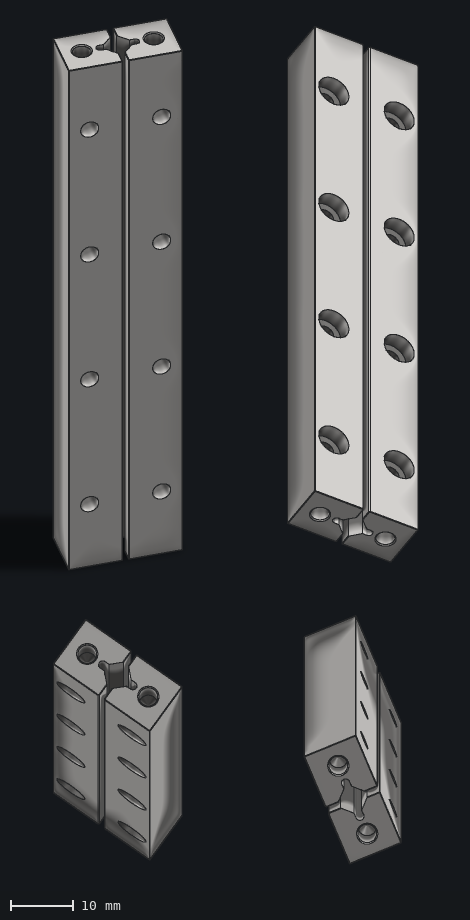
import cadquery as cq
import math

rail_length = 100.0
rail_width = 9.0
pair_depth = 19.0
rail_gap = 1.0
inner_face = rail_gap / 2
outer_face = pair_depth / 2

groove_half_width = 2.3
relief_radius = 0.65
groove_depth = 3.1
vee_depth = groove_half_width - relief_radius
relief_bottom = inner_face + groove_depth

inner_chamfer = 0.2
edge_chamfer = 0.1

hole_offset = 6.0
hole_count = 4
hole_pitch = rail_length / hole_count
hole_diameter = 3.0
counterbore_diameter = 5.5
counterbore_depth = 2.7

end_hole_diameter = 3.0
end_hole_depth = 6.0
end_mouth_diameter = 3.4
cone_bottom_angle = 90.0


def rail_blank():
    """Chamfered rectangular bar on the +Y side of the pair."""
    middle = (inner_face + outer_face) / 2
    return (
        cq.Workplane("XY")
        .box(rail_width, outer_face - inner_face, rail_length)
        .translate((0, middle, 0))
        .edges("|Z and <Y and <X")
        .chamfer(inner_chamfer)
        .edges("(not |Z) or >X or >Y")
        .chamfer(edge_chamfer)
    )


def cut_groove(bar):
    """V groove with its relief slot, open towards -Y."""
    relief_end = relief_bottom - relief_radius
    groove = (
        cq.Workplane("XY")
        .workplane(offset=-rail_length / 2)
        .moveTo(-groove_half_width, inner_face)
        .lineTo(-relief_radius, inner_face + vee_depth)
        .lineTo(-relief_radius, relief_end)
        .threePointArc((0, relief_bottom), (relief_radius, relief_end))
        .lineTo(relief_radius, inner_face + vee_depth)
        .lineTo(groove_half_width, inner_face)
        .close()
        .extrude(rail_length)
    )
    return bar.cut(groove)


def cut_mounting_holes(bar):
    """Row of counterbored through holes along the rail."""
    first_height = -(hole_count - 1) * hole_pitch / 2
    for index in range(hole_count):
        mouth = cq.Vector(-rail_width / 2, hole_offset, first_height + index * hole_pitch)
        inward = cq.Vector(1, 0, 0)
        bore = cq.Solid.makeCylinder(hole_diameter / 2, rail_width, mouth, inward)
        counterbore = cq.Solid.makeCylinder(counterbore_diameter / 2, counterbore_depth, mouth, inward)
        bar = bar.cut(cq.Workplane(bore)).cut(cq.Workplane(counterbore))
    return bar


def cut_end_holes(bar):
    """Blind countersunk hole in each end face."""
    radius = end_hole_diameter / 2
    mouth_radius = end_mouth_diameter / 2
    mouth_depth = mouth_radius - radius
    cone_depth = radius / math.tan(math.radians(cone_bottom_angle / 2))
    for end in (1, -1):
        end_height = end * rail_length / 2
        cutter = (
            cq.Workplane("XZ")
            .moveTo(0, end_height)
            .lineTo(mouth_radius, end_height)
            .lineTo(radius, end_height - end * mouth_depth)
            .lineTo(radius, end_height - end * end_hole_depth)
            .lineTo(0, end_height - end * (end_hole_depth + cone_depth))
            .close()
            .revolve(360, (0, 0, 0), (0, 1, 0))
            .translate((0, hole_offset, 0))
        )
        bar = bar.cut(cutter)
    return bar


def rail(side):
    """One finished rail on the +Y (side = 1) or -Y (side = -1) half of the pair."""
    finished = cut_end_holes(cut_mounting_holes(cut_groove(rail_blank())))
    if side < 0:
        finished = finished.mirror("XZ")
    return finished


rails = [rail(side) for side in (1, -1)]
result = cq.Compound.makeCompound([one_rail.val() for one_rail in rails])